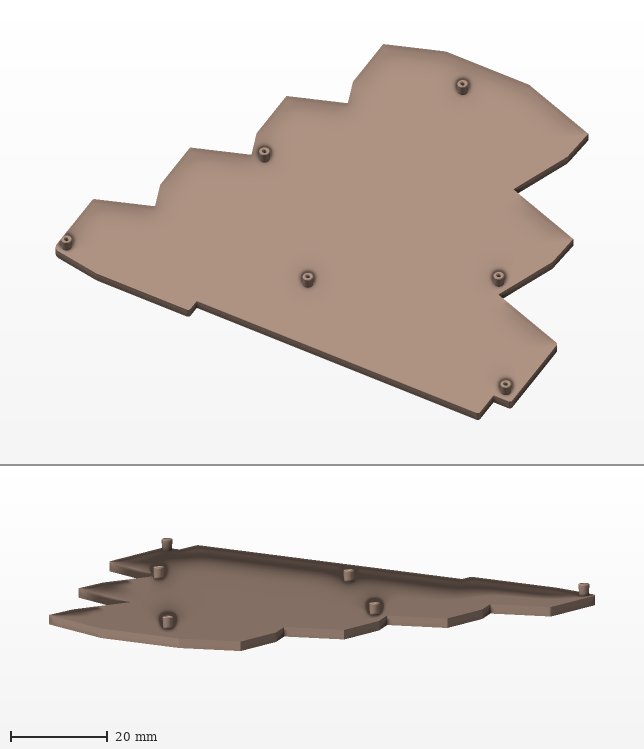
import math

import cadquery as cq

PLATE_LENGTH = 104.5
PLATE_WIDTH = 92.2
PLATE_THICKNESS = 2.0
TOTAL_HEIGHT = 4.4

RAMP_SLOPE = math.tan(math.radians(20))
LEAN_SLOPE = math.tan(math.radians(3))
FOOT_SLOPE = math.tan(math.radians(10))

LEFT_NOTCH = (12.2, 23.1)
LEFT_PITCH = (9.9, 22.95)
LEFT_UNDERCUT_HEIGHT = 6.0
LEFT_NOTCH_COUNT = 3
TOP_EDGE_START = 42.2

RIGHT_NOTCH = (86.7, 35.6)
RIGHT_PITCH = (-12.5, 28.35)
RIGHT_UNDERCUT_HEIGHT = 13.8
RIGHT_FACE_HEIGHT = 8.0
RIGHT_NOTCH_COUNT = 2

FOOT_FLAT_START = 11.4
FOOT_END = 33.4
FOOT_DEPTH = 3.2
CORNER_NOTCH_X = 100.4
CORNER_NOTCH_Y = 9.4

FOOT_RADIUS = 1.7
CORNER_RADIUS = 0.6

NECK_RADIUS = 1.0
NECK_HEIGHT = 0.6
HEAD_BASE_RADIUS = 1.07
HEAD_RADIUS = 1.12
HEAD_CHAMFER = 0.15
BORE_RADIUS = 0.4
BORE_CHAMFER = 0.2
PIN_CENTERS = [
    (51.0, 83.7),
    (51.0, 18.8),
    (25.1, 46.3),
    (85.2, 38.5),
    (102.1, 11.6),
    (2.2, 3.7),
]


def left_flank():
    """Points up the left side, from the lowest outer corner to the top edge."""
    points = []
    face_x = 0.0
    for tier in range(LEFT_NOTCH_COUNT):
        notch_x = LEFT_NOTCH[0] + tier * LEFT_PITCH[0]
        notch_y = LEFT_NOTCH[1] + tier * LEFT_PITCH[1]
        points.append((face_x, notch_y - (notch_x - face_x) * RAMP_SLOPE))
        points.append((notch_x, notch_y))
        face_x = notch_x - LEFT_UNDERCUT_HEIGHT * RAMP_SLOPE
        points.append((face_x, notch_y + LEFT_UNDERCUT_HEIGHT))
    points.append((face_x, PLATE_WIDTH - (TOP_EDGE_START - face_x) * RAMP_SLOPE))
    points.append((TOP_EDGE_START, PLATE_WIDTH))
    return points


def right_flank():
    """Points down the right side, from the top edge to the lowest outer corner."""
    points = []
    for tier in reversed(range(RIGHT_NOTCH_COUNT)):
        notch_x = RIGHT_NOTCH[0] + tier * RIGHT_PITCH[0]
        notch_y = RIGHT_NOTCH[1] + tier * RIGHT_PITCH[1]
        face_x = notch_x + RIGHT_UNDERCUT_HEIGHT * RAMP_SLOPE
        face_y = notch_y + RIGHT_UNDERCUT_HEIGHT
        tip_x = face_x + RIGHT_FACE_HEIGHT * LEAN_SLOPE
        tip_y = face_y + RIGHT_FACE_HEIGHT
        if not points:
            points.append((tip_x - (PLATE_WIDTH - tip_y) / RAMP_SLOPE, PLATE_WIDTH))
        points.append((tip_x, tip_y))
        points.append((face_x, face_y))
        points.append((notch_x, notch_y))
    drop = (PLATE_LENGTH - RIGHT_NOTCH[0]) * RAMP_SLOPE
    points.append((PLATE_LENGTH, RIGHT_NOTCH[1] - drop))
    return points


def round_corner(plate, corner, radius):
    """Round the upright plate edge that stands at the given corner."""
    x, y = corner
    edge = cq.selectors.NearestToPointSelector((x, y, PLATE_THICKNESS / 2))
    return plate.edges("|Z").edges(edge).fillet(radius)


def make_plate():
    left = left_flank()
    right = right_flank()
    foot_corner = (0, FOOT_FLAT_START * FOOT_SLOPE)
    foot_end = (FOOT_END, 0)
    base_end = (CORNER_NOTCH_X, FOOT_DEPTH)
    right_lower = (PLATE_LENGTH, CORNER_NOTCH_Y)
    lower_edge = [
        right_lower,
        (CORNER_NOTCH_X, CORNER_NOTCH_Y),
        base_end,
        (FOOT_END, FOOT_DEPTH),
        foot_end,
        (FOOT_FLAT_START, 0),
        foot_corner,
    ]
    outline = left + right + lower_edge
    plate = cq.Workplane("XY").polyline(outline).close().extrude(PLATE_THICKNESS)
    for corner in (left[0], right[-1], right_lower, base_end, foot_end):
        plate = round_corner(plate, corner, CORNER_RADIUS)
    return round_corner(plate, foot_corner, FOOT_RADIUS)


def make_pin():
    """Hollow pin standing on the plate, revolved about its own axis."""
    shoulder_z = TOTAL_HEIGHT - HEAD_CHAMFER
    profile = [
        (BORE_RADIUS, PLATE_THICKNESS),
        (NECK_RADIUS, PLATE_THICKNESS),
        (NECK_RADIUS, PLATE_THICKNESS + NECK_HEIGHT),
        (HEAD_BASE_RADIUS, PLATE_THICKNESS + NECK_HEIGHT),
        (HEAD_RADIUS, shoulder_z),
        (HEAD_RADIUS - HEAD_CHAMFER, TOTAL_HEIGHT),
        (BORE_RADIUS + BORE_CHAMFER, TOTAL_HEIGHT),
        (BORE_RADIUS, TOTAL_HEIGHT - BORE_CHAMFER),
    ]
    return cq.Workplane("XZ").polyline(profile).close().revolve(360, (0, 0), (0, 1))


def make_part():
    part = make_plate()
    pin = make_pin()
    for x, y in PIN_CENTERS:
        part = part.union(pin.translate((x, y, 0)))
    return part


result = make_part()